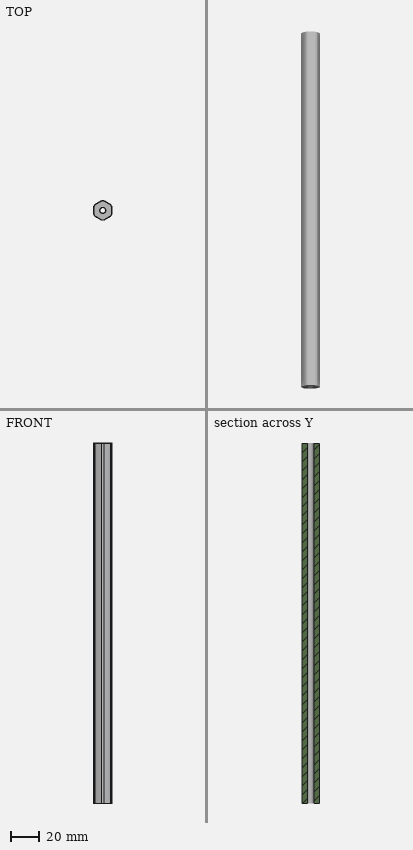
import cadquery as cq
import math

length = 254.0
across_flats = 12.69
rounded_corner_diameter = 13.73
bore_diameter = 4.04

hex_sides = 6
corner_to_flat_angle = 180 / hex_sides
sharp_corner_diameter = across_flats / math.cos(math.radians(corner_to_flat_angle))
corner_to_y_axis_turn = 90


def cylinder(diameter):
    """Full-length cylinder on the shaft axis."""
    return cq.Workplane("XY").circle(diameter / 2).extrude(length)


def sharp_hex_bar():
    """Full-length hex bar with flats facing +X and -X."""
    bar = cq.Workplane("XY").polygon(hex_sides, sharp_corner_diameter).extrude(length)
    return bar.rotate((0, 0, 0), (0, 0, 1), corner_to_y_axis_turn)


rounded_hex_bar = sharp_hex_bar().intersect(cylinder(rounded_corner_diameter))

result = rounded_hex_bar.cut(cylinder(bore_diameter))